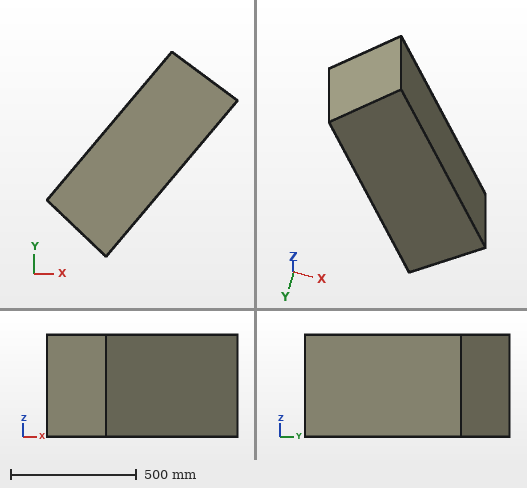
import cadquery as cq

size_x = 760.0
size_y = 816.0
height = 406.5

front_corner_x = 236.0
back_corner_x = 498.0
left_corner_y = 225.0
right_corner_y = 622.0

corners = [
    (front_corner_x, 0),
    (size_x, right_corner_y),
    (back_corner_x, size_y),
    (0, left_corner_y),
]

result = cq.Workplane("XY").polyline(corners).close().extrude(height)